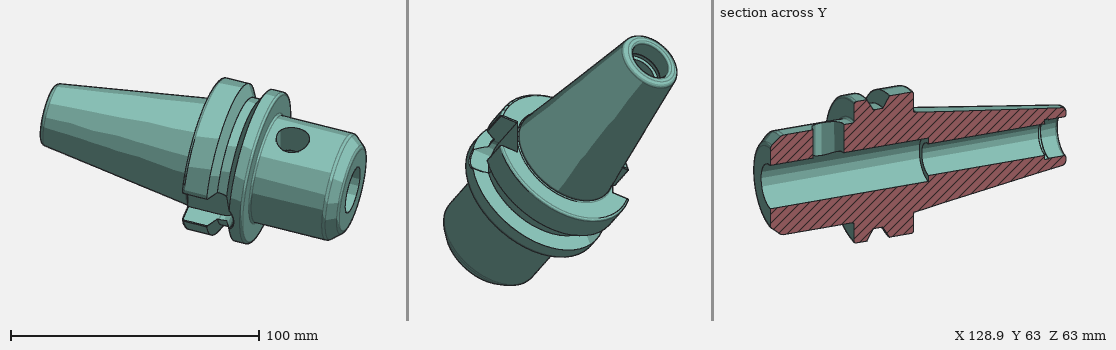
import cadquery as cq
import math

total_length = 128.9
gauge_x = 65.4
flange_start = gauge_x + 1.0
flange_end = gauge_x + 27.0

gauge_diameter = 44.45
taper_ratio = 7 / 24
taper_edge_radius = 2.0
gauge_fillet = 0.5

flange_diameter = 63.0
flange_edge_radius = 1.0
groove_center = gauge_x + 16.5
groove_bottom_diameter = 53.0
groove_top_width = 9.8
groove_flank_angle = math.radians(30)

slot_width = 16.1
slot_length = 22.2
slot_floor = 22.6
slot_rim_chamfer = 0.4

nose_diameter = gauge_diameter
nose_fillet = 0.8
nose_chamfer_length = 5.0
nose_chamfer_depth = 4.3
nose_edge_radius = 2.0

entry_diameter = 17.0
entry_edge_radius = 1.0
entry_depth = 7.6
relief_diameter = 17.5
relief_length = 1.6
thread_diameter = 13.84
thread_end = 60.0
tool_diameter = 19.05

screw_diameter = 13.39
screw_x = 103.5


def revolve_profile(points):
    """Solid of revolution about the X axis from a closed outline of (x, radius) points."""
    return cq.Workplane("XY").polyline(points).close().revolve(360, (0, 0, 0), (1, 0, 0))


def at_station(x, radius):
    """Selector for the circular edge of the given radius centred on the axis at x."""
    tolerance = 0.01
    low = (x - tolerance, -radius - tolerance, -radius - tolerance)
    high = (x + tolerance, radius + tolerance, radius + tolerance)
    inner = radius - tolerance
    outer_box = cq.selectors.BoxSelector(low, high, boundingbox=True)
    inner_box = cq.selectors.BoxSelector(
        (low[0], -inner, -inner), (high[0], inner, inner), boundingbox=True
    )
    return outer_box - inner_box


def make_body():
    gauge_radius = gauge_diameter / 2
    small_radius = gauge_radius - gauge_x * taper_ratio / 2
    flange_radius = flange_diameter / 2
    nose_radius = nose_diameter / 2
    nose_end_radius = nose_radius - nose_chamfer_depth
    chamfer_start = total_length - nose_chamfer_length

    body = revolve_profile([
        (0, 0),
        (0, small_radius),
        (gauge_x, gauge_radius),
        (flange_start, gauge_radius),
        (flange_start, flange_radius),
        (flange_end, flange_radius),
        (flange_end, nose_radius),
        (chamfer_start, nose_radius),
        (total_length, nose_end_radius),
        (total_length, 0),
    ])
    rounded_edges = [
        (0, small_radius, taper_edge_radius),
        (flange_start, flange_radius, flange_edge_radius),
        (flange_end, flange_radius, flange_edge_radius),
        (flange_end, nose_radius, nose_fillet),
        (chamfer_start, nose_radius, nose_edge_radius),
        (total_length, nose_end_radius, nose_edge_radius),
    ]
    for x, radius, fillet in rounded_edges:
        body = body.edges(at_station(x, radius)).fillet(fillet)
    return body


def make_groove():
    flange_radius = flange_diameter / 2
    groove_radius = groove_bottom_diameter / 2
    half_top = groove_top_width / 2
    half_bottom = half_top - (flange_radius - groove_radius) * math.tan(groove_flank_angle)
    return revolve_profile([
        (groove_center - half_top, flange_radius),
        (groove_center - half_bottom, groove_radius),
        (groove_center + half_bottom, groove_radius),
        (groove_center + half_top, flange_radius),
    ])


def make_bore():
    entry_radius = entry_diameter / 2
    relief_radius = relief_diameter / 2
    thread_radius = thread_diameter / 2
    tool_radius = tool_diameter / 2
    relief_end = entry_depth + relief_length
    return (
        cq.Workplane("XY")
        .moveTo(0, 0)
        .lineTo(0, entry_radius + entry_edge_radius)
        .radiusArc((entry_edge_radius, entry_radius), -entry_edge_radius)
        .lineTo(entry_depth, entry_radius)
        .lineTo(entry_depth, relief_radius)
        .lineTo(relief_end, relief_radius)
        .lineTo(relief_end, thread_radius)
        .lineTo(thread_end, thread_radius)
        .lineTo(thread_end, tool_radius)
        .lineTo(total_length, tool_radius)
        .lineTo(total_length, 0)
        .close()
        .revolve(360, (0, 0, 0), (1, 0, 0))
    )


def make_drive_slot(side):
    """Round-ended slot open toward the taper; side is +1 or -1 along Y."""
    half_width = slot_width / 2
    slot_end = flange_start + slot_length
    cut_height = flange_diameter / 2 - slot_floor
    return (
        cq.Workplane("XZ", origin=(0, side * slot_floor, 0))
        .moveTo(gauge_x, half_width)
        .lineTo(slot_end - half_width, half_width)
        .threePointArc((slot_end, 0), (slot_end - half_width, -half_width))
        .lineTo(gauge_x, -half_width)
        .close()
        .extrude(-side * cut_height)
    )


def slot_rim(side):
    """Selector for the edges where a slot's walls meet the flange rim and front face."""
    tolerance = 0.01
    reach = slot_width / 2 + tolerance
    slot_end = flange_start + slot_length
    outer_y = side * (flange_diameter / 2 + tolerance)
    on_rim = cq.selectors.BoxSelector(
        (flange_start - tolerance, side * (slot_floor + tolerance), -reach),
        (slot_end + tolerance, outer_y, reach),
        boundingbox=True,
    )
    on_front_face = cq.selectors.BoxSelector(
        (flange_start - tolerance, side * (slot_floor - tolerance), -reach),
        (flange_start + tolerance, outer_y, reach),
        boundingbox=True,
    )
    return on_rim + (on_front_face - cq.selectors.ParallelDirSelector(cq.Vector(0, 0, 1)))


def make_gauge_fillet():
    """Ring that rounds the corner between the gauge cylinder and the flange face."""
    gauge_radius = gauge_diameter / 2
    ring = (
        cq.Workplane("XY")
        .moveTo(flange_start - gauge_fillet, gauge_radius)
        .radiusArc((flange_start, gauge_radius + gauge_fillet), -gauge_fillet)
        .lineTo(flange_start, gauge_radius)
        .close()
        .revolve(360, (0, 0, 0), (1, 0, 0))
    )
    return ring.cut(make_drive_slot(-1)).cut(make_drive_slot(1))


def make_screw_hole():
    return (
        cq.Workplane("XY")
        .center(screw_x, 0)
        .circle(screw_diameter / 2)
        .extrude(nose_diameter / 2)
    )


result = make_body()
for slot_side in (-1, 1):
    result = result.cut(make_drive_slot(slot_side))
    result = result.edges(slot_rim(slot_side)).chamfer(slot_rim_chamfer)
result = result.union(make_gauge_fillet())
result = result.cut(make_groove()).cut(make_bore()).cut(make_screw_hole())